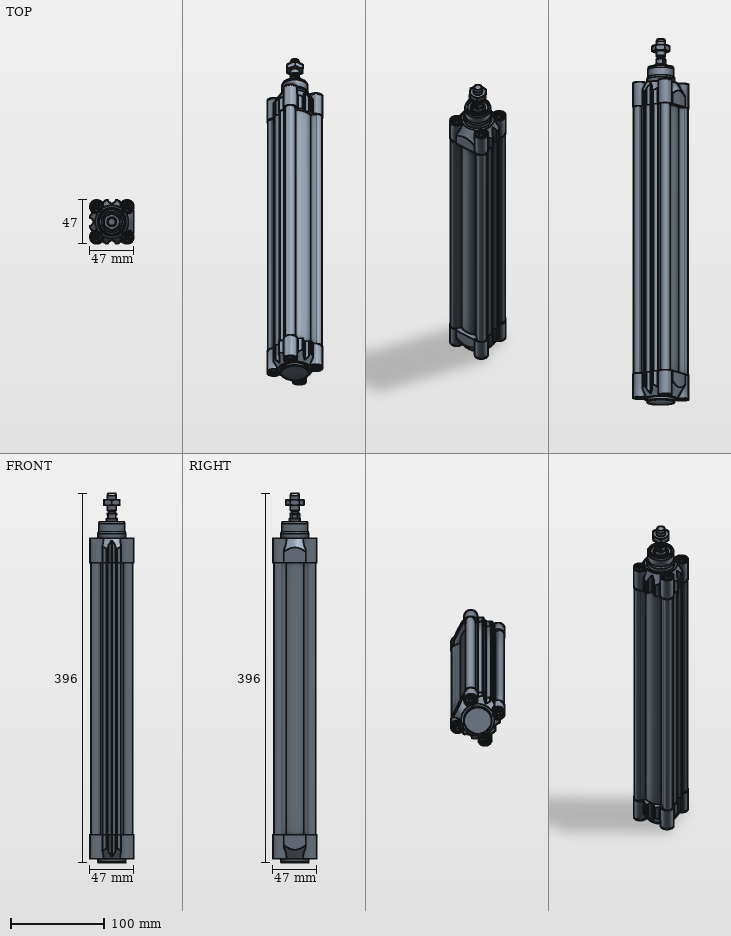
import cadquery as cq
import math

TOTAL_LENGTH = 396.0
SPIGOT_HEIGHT = 4.0
CAP_HEIGHT = 26.0
HEAD_TOP = 347.5
TUBE_BOTTOM = SPIGOT_HEIGHT + CAP_HEIGHT
TUBE_TOP = HEAD_TOP - CAP_HEIGHT

CAP_WIDTH = 47.0
BOLT_OFFSET = 16.2
CAP_COLUMN_RADIUS = CAP_WIDTH / 2 - BOLT_OFFSET
CAP_CORE_HALF = 20.5
PORT_FACE_HALF_WIDTH = 12.0
CONE_TOP_RADIUS = 18.0
CONE_ANGLE = 60.0

GROOVE_BOTTOM_HALF = 0.5
GROOVE_SHOULDER_HALF = 3.5
GROOVE_TOP_HALF = 4.5
GROOVE_FLOOR = 19.5
GROOVE_SHOULDER = 21.8
RIB_TIP_HALF = 6.0
RIB_ROOT_HALF = 9.5
RIB_FLANK_HEIGHT = 2.5

SCREW_RECESS_DIAMETERS = (12.0, 10.0, 6.0)
SCREW_STEP_DEPTH = 0.8
SOCKET_DIAMETER = 4.8
SOCKET_TIP_DIAMETER = 2.1
SOCKET_DEPTH = 4.0

SPIGOT_DIAMETER = 30.0
SPIGOT_CHAMFER_WIDTH = 0.5
SPIGOT_CHAMFER_HEIGHT = 1.0
COLLAR_HEIGHT = 4.8
COLLAR_CONE_HEIGHT = 2.5
GLAND_DIAMETER = 28.0
GLAND_TOP = 365.5
GLAND_CHAMFER_WIDTH = 0.8
GLAND_CHAMFER_HEIGHT = 2.5
GLAND_RECESS_DIAMETERS = (22.0, 16.0)
GLAND_STEP_DEPTH = 1.0

TUBE_WIDTH = 45.0
TUBE_BORE_DIAMETER = 32.0
BARREL_DIAMETER = 38.0
RIB_FLOOR_WIDTH = 25.5
RIB_FLOOR_DEPTH = 39.0
TUBE_COLUMN_DIAMETER = 10.3

ROD_DIAMETER = 12.0
ROD_SHOULDER = 368.3
FLATS_DIAMETER = 10.3
FLATS_ACROSS = 8.7
FLATS_BOTTOM = 369.0
FLATS_TOP = 372.5
COLLAR_TOP = 374.5
COLLAR_CHAMFER = 0.8
NECK_DIAMETER = 7.0
THREAD_DIAMETER = 10.0
THREAD_BOTTOM = 376.5
THREAD_END_DIAMETER = 8.0
THREAD_END_CHAMFER_HEIGHT = 2.8
THREAD_ROOT_CHAMFER_HEIGHT = 1.0

NUT_BOTTOM = 383.0
NUT_HEIGHT = 6.0
NUT_ACROSS_FLATS = 17.0
NUT_CHAMFER_ANGLE = 30.0
HEX_HALF_ANGLE = 180 / 6


def cylinder(diameter, bottom, top):
    return cq.Workplane("XY").workplane(offset=bottom).circle(diameter / 2).extrude(top - bottom)


def revolved(points):
    """Solid turned about the Z axis from (radius, height) points."""
    return cq.Workplane("XZ").polyline(points).close().revolve(360, (0, 0), (0, 1))


def at_corners(offset):
    return [(x * offset, y * offset) for x in (-1, 1) for y in (-1, 1)]


def groove_half(tip):
    """Right-hand side of the groove outline, from its floor out to the rib tips."""
    return [
        (GROOVE_BOTTOM_HALF, GROOVE_FLOOR),
        (GROOVE_SHOULDER_HALF, GROOVE_SHOULDER),
        (GROOVE_TOP_HALF, tip),
    ]


def prism(right_half, bottom, top):
    """Upright prism whose outline is the given half and its mirror image across X = 0."""
    left_half = [(-x, y) for x, y in reversed(right_half)]
    return (
        cq.Workplane("XY")
        .workplane(offset=bottom)
        .polyline(left_half + right_half)
        .close()
        .extrude(top - bottom)
    )


def rib_pair(tip, bottom, top):
    """Two ribs on the +Y side with a tapering groove between them."""
    flank = [(RIB_TIP_HALF, tip), (RIB_ROOT_HALF, tip - RIB_FLANK_HEIGHT), (RIB_ROOT_HALF, 0)]
    return prism(groove_half(tip) + flank, bottom, top)


def groove(tip, bottom, top):
    """Cutter for the tapering groove on the +Y side."""
    return prism(groove_half(tip), bottom, top)


def turned(body, angle):
    return body.rotate((0, 0, 0), (0, 0, 1), angle)


def cap_block():
    """Cap from Z = 0 to CAP_HEIGHT with its coned outer face at the top."""
    half_width = CAP_WIDTH / 2
    web = cq.Workplane("XY").rect(2 * CAP_CORE_HALF, 2 * CAP_CORE_HALF).extrude(CAP_HEIGHT)
    for angle in (0, 90, 180):
        web = web.union(turned(rib_pair(half_width, 0, CAP_HEIGHT), angle))
        web = web.cut(turned(groove(half_width, 0, CAP_HEIGHT), angle))
    port_face = (
        cq.Workplane("XY")
        .center(half_width / 2, 0)
        .rect(half_width, 2 * PORT_FACE_HALF_WIDTH)
        .extrude(CAP_HEIGHT)
    )
    web = web.union(port_face)

    cone_base_radius = CAP_WIDTH
    cone_drop = (cone_base_radius - CONE_TOP_RADIUS) * math.tan(math.radians(CONE_ANGLE))
    cone = revolved([
        (0, CAP_HEIGHT),
        (CONE_TOP_RADIUS, CAP_HEIGHT),
        (cone_base_radius, CAP_HEIGHT - cone_drop),
        (0, CAP_HEIGHT - cone_drop),
    ])
    web = web.intersect(cone)

    columns = (
        cq.Workplane("XY").pushPoints(at_corners(BOLT_OFFSET)).circle(CAP_COLUMN_RADIUS).extrude(CAP_HEIGHT)
    )
    block = web.union(columns)
    for x, y in at_corners(BOLT_OFFSET):
        block = block.cut(screw_recess().translate((x, y, 0)))
    return block


def stepped_bore(diameters, step_depth, top):
    """Coaxial cutter whose diameters step inward, each step going one step_depth deeper."""
    bore = cq.Workplane("XY")
    for step, diameter in enumerate(diameters, start=1):
        bore = bore.union(cylinder(diameter, top - step * step_depth, top))
    return bore


def screw_recess():
    """Stepped recess with a coned socket below it, cut down from the outer face of a cap."""
    socket_top = CAP_HEIGHT - len(SCREW_RECESS_DIAMETERS) * SCREW_STEP_DEPTH
    socket = revolved([
        (0, socket_top),
        (SOCKET_DIAMETER / 2, socket_top),
        (SOCKET_TIP_DIAMETER / 2, socket_top - SOCKET_DEPTH),
        (0, socket_top - SOCKET_DEPTH),
    ])
    return stepped_bore(SCREW_RECESS_DIAMETERS, SCREW_STEP_DEPTH, CAP_HEIGHT).union(socket)


def make_head():
    """Rod-side cap with its stepped gland, bored for the rod."""
    gland_radius = GLAND_DIAMETER / 2
    collar_radius = SPIGOT_DIAMETER / 2
    collar_top = HEAD_TOP + COLLAR_HEIGHT
    gland = revolved([
        (0, TUBE_TOP),
        (collar_radius, TUBE_TOP),
        (collar_radius, collar_top),
        (gland_radius, collar_top + COLLAR_CONE_HEIGHT),
        (gland_radius, GLAND_TOP - GLAND_CHAMFER_HEIGHT),
        (gland_radius - GLAND_CHAMFER_WIDTH, GLAND_TOP),
        (0, GLAND_TOP),
    ])
    recess = stepped_bore(GLAND_RECESS_DIAMETERS, GLAND_STEP_DEPTH, GLAND_TOP)
    rod_bore = cylinder(ROD_DIAMETER, TUBE_TOP, GLAND_TOP)
    return cap_block().translate((0, 0, TUBE_TOP)).union(gland).cut(recess).cut(rod_bore)


def make_end_cap():
    """Rear cap, mirrored from the head, with a chamfered centring spigot."""
    spigot_radius = SPIGOT_DIAMETER / 2
    spigot = revolved([
        (0, 0),
        (spigot_radius - SPIGOT_CHAMFER_WIDTH, 0),
        (spigot_radius, SPIGOT_CHAMFER_HEIGHT),
        (spigot_radius, TUBE_BOTTOM),
        (0, TUBE_BOTTOM),
    ])
    return cap_block().mirror("XY").translate((0, 0, TUBE_BOTTOM)).union(spigot)


def make_tube():
    """Barrel with four diagonal corner webs and a grooved rib pair on the +Y and -Y sides."""
    length = TUBE_TOP - TUBE_BOTTOM
    column_radius = TUBE_COLUMN_DIAMETER / 2
    column_distance = (TUBE_WIDTH / 2 - column_radius) * math.sqrt(2)
    tube = cylinder(BARREL_DIAMETER, TUBE_BOTTOM, TUBE_TOP)
    diagonal = (
        cq.Workplane("XY")
        .workplane(offset=TUBE_BOTTOM)
        .slot2D(2 * column_distance + TUBE_COLUMN_DIAMETER, TUBE_COLUMN_DIAMETER)
        .extrude(length)
    )
    for angle in (45, 135):
        tube = tube.union(turned(diagonal, angle))
    rib_floor = (
        cq.Workplane("XY")
        .workplane(offset=TUBE_BOTTOM)
        .rect(RIB_FLOOR_WIDTH, RIB_FLOOR_DEPTH)
        .extrude(length)
    )
    tube = tube.union(rib_floor)
    for angle in (0, 180):
        tube = tube.union(turned(rib_pair(TUBE_WIDTH / 2, TUBE_BOTTOM, TUBE_TOP), angle))
    return tube.cut(cylinder(TUBE_BORE_DIAMETER, TUBE_BOTTOM, TUBE_TOP))


def make_rod():
    """Rod reaching from the end cap to its threaded end, with spanner flats below the thread."""
    thread_radius = THREAD_DIAMETER / 2
    rod = revolved([
        (0, TUBE_BOTTOM),
        (ROD_DIAMETER / 2, TUBE_BOTTOM),
        (ROD_DIAMETER / 2, ROD_SHOULDER),
        (FLATS_DIAMETER / 2, ROD_SHOULDER),
        (FLATS_DIAMETER / 2, COLLAR_TOP - COLLAR_CHAMFER),
        (FLATS_DIAMETER / 2 - COLLAR_CHAMFER, COLLAR_TOP),
        (NECK_DIAMETER / 2, COLLAR_TOP),
        (NECK_DIAMETER / 2, THREAD_BOTTOM),
        (thread_radius, THREAD_BOTTOM + THREAD_ROOT_CHAMFER_HEIGHT),
        (thread_radius, TOTAL_LENGTH - THREAD_END_CHAMFER_HEIGHT),
        (THREAD_END_DIAMETER / 2, TOTAL_LENGTH),
        (0, TOTAL_LENGTH),
    ])
    flat_cutter = (
        cq.Workplane("XY")
        .workplane(offset=FLATS_BOTTOM)
        .rect(2 * ROD_DIAMETER, 2 * ROD_DIAMETER)
        .rect(FLATS_ACROSS, 2 * ROD_DIAMETER)
        .extrude(FLATS_TOP - FLATS_BOTTOM)
    )
    return rod.cut(flat_cutter)


def make_nut():
    """Hexagon lock nut with corners toward +Y and -Y and both ends chamfered."""
    across_corners = NUT_ACROSS_FLATS / math.cos(math.radians(HEX_HALF_ANGLE))
    corner_radius = across_corners / 2
    chamfer_radius = NUT_ACROSS_FLATS / 2
    chamfer_drop = (corner_radius - chamfer_radius) * math.tan(math.radians(NUT_CHAMFER_ANGLE))
    hexagon = cq.Workplane("XY").workplane(offset=NUT_BOTTOM).polygon(6, across_corners).extrude(NUT_HEIGHT)
    hexagon = turned(hexagon, HEX_HALF_ANGLE)
    nut_top = NUT_BOTTOM + NUT_HEIGHT
    envelope = revolved([
        (0, NUT_BOTTOM),
        (chamfer_radius, NUT_BOTTOM),
        (corner_radius, NUT_BOTTOM + chamfer_drop),
        (corner_radius, nut_top - chamfer_drop),
        (chamfer_radius, nut_top),
        (0, nut_top),
    ])
    return hexagon.intersect(envelope).cut(cylinder(THREAD_DIAMETER, NUT_BOTTOM, nut_top))


tube = make_tube()
head = make_head()
end_cap = make_end_cap()
rod = make_rod()
nut = make_nut()

result = cq.Compound.makeCompound([tube.val(), head.val(), end_cap.val(), rod.val(), nut.val()])